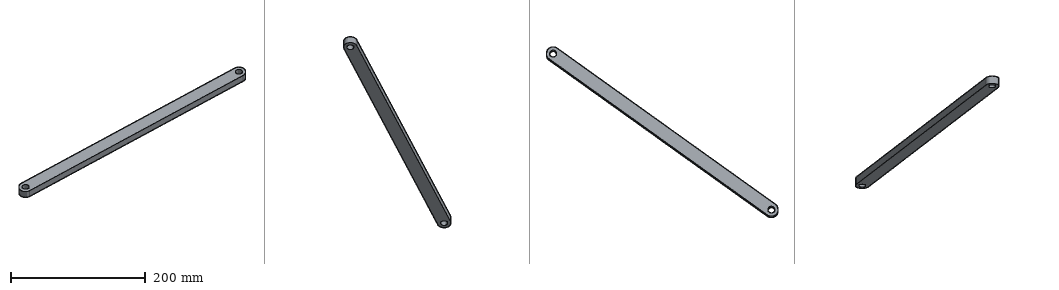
import cadquery as cq
import math

length = 420.0
width = 20.0
thickness = 12.0
hole_diameter = 10.0
sideways_lean = 1.5

spacing_y = length - width
hole_spacing = math.hypot(sideways_lean, spacing_y)
lean_angle = math.degrees(math.atan2(spacing_y, sideways_lean))

bar = cq.Workplane("XY").slot2D(hole_spacing + width, width).extrude(thickness)
bar = (
    bar.faces(">Z")
    .workplane()
    .pushPoints([(-hole_spacing / 2, 0), (hole_spacing / 2, 0)])
    .hole(hole_diameter)
)

result = bar.rotate((0, 0, 0), (0, 0, 1), lean_angle)